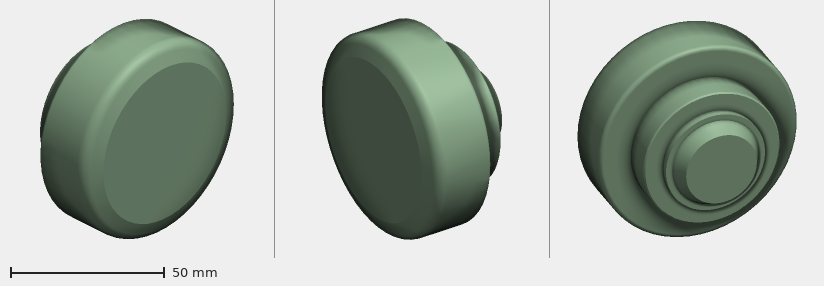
import cadquery as cq
import math

total_length = 42.0
rim_radius = 35.05

nose_length = 5.05
nose_tip_radius = 12.5
nose_base_radius = 15.3
flank_hollow = 0.15

collar_end = 8.0
collar_radius = 35.0 / 2
hub_end = 19.0
hub_radius = 48.0 / 2
hub_chamfer = 0.5

front_fillet = 1.5
back_round = 4.0
back_round_start = 36.65
cone_angle = math.radians(70)


def back_round_point(angle):
    """Point on the large back round, where angle is its turn away from the rim."""
    x = back_round_start + back_round * math.sin(angle)
    radius = rim_radius - back_round * (1 - math.cos(angle))
    return x, radius


cone_start_x, cone_start_radius = back_round_point(cone_angle)
back_face_radius = cone_start_radius - (total_length - cone_start_x) * math.tan(cone_angle)

nose_flank_middle = (nose_length / 2, (nose_tip_radius + nose_base_radius) / 2 - flank_hollow)
fillet_diagonal = front_fillet * (1 - math.sqrt(0.5))

profile = (
    cq.Workplane("XY")
    .lineTo(0, nose_tip_radius)
    .threePointArc(nose_flank_middle, (nose_length, nose_base_radius))
    .lineTo(nose_length, collar_radius)
    .lineTo(collar_end, collar_radius)
    .lineTo(collar_end, hub_radius - hub_chamfer)
    .lineTo(collar_end + hub_chamfer, hub_radius)
    .lineTo(hub_end, hub_radius)
    .lineTo(hub_end, rim_radius - front_fillet)
    .threePointArc(
        (hub_end + fillet_diagonal, rim_radius - fillet_diagonal),
        (hub_end + front_fillet, rim_radius),
    )
    .lineTo(back_round_start, rim_radius)
    .threePointArc(back_round_point(cone_angle / 2), (cone_start_x, cone_start_radius))
    .lineTo(total_length, back_face_radius)
    .lineTo(total_length, 0)
    .close()
)

result = profile.revolve(360, (0, 0, 0), (1, 0, 0))